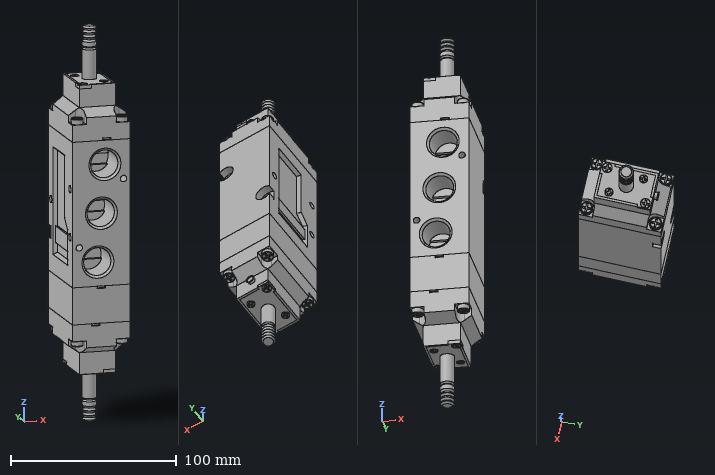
import cadquery as cq

total_length = 244.5
body_width = 36.5
body_depth = 51.0
half_length = total_length / 2

cap_base_z = 56.5
body_bottom_z = -33.5
body_mid_z = (cap_base_z + body_bottom_z) / 2

port_pitch = 30.0
port_shift = 2.2
port_radius = 8.5
port_mouth_radius = 10.0
port_depth = 19.5
port_slot_pitch = 29.0
port_slot_height = 6.8
port_slot_depth = 2.5

mount_x = 14.0
mount_z = 20.5
mount_radius = 2.0
mount_recess_radius = 5.6
mount_recess_depth = 5.1

pocket_back_y = 15.5
pocket_narrow_y = -8.5
pocket_wide_y = -15.2
pocket_top_z = 44.7
pocket_step_top_z = 6.4
pocket_step_bottom_z = 0.2
pocket_bottom_z = -21.8
pocket_depth = 2.5
pocket_draft = 34.0
bar_depth = 1.2
bar_top_z = -4.0
bar_bottom_z = -14.2
side_hole_y = 20.0
side_hole_spacing_z = 15.0
side_hole_radius = 2.2
side_hole_depth = 5.0

notch_width = 5.1
notch_height = 1.5
notch_depth = 2.0
cap_notch_x = 3.5

shoulder_z = 71.1
shoulder_top_z = 75.8
neck_width = 23.0
neck_depth = 34.7
neck_top_z = 89.5
corner_pocket_size = 8.8
corner_pocket_round = 4.5
corner_floor_z = 67.0
cap_screw_inset = 4.2
cap_screw_radius = 3.7
cap_screw_height = 3.5
cap_screw_chamfer = 0.5

button_z = 80.2
button_length = 2.5
button_stem_radius = 2.2
button_head_radius = 2.7
button_head_thickness = 0.5

plate_thickness = 2.2
rim_thickness = 1.5
rim_gap_x = 7.5
rim_gap_y = 8.0
corner_screw_x = 8.3
corner_screw_y = 13.7
corner_screw_radius = 3.0
inner_screw_x = 6.4
inner_screw_y = 9.3
inner_screw_radius = 2.5
plate_screw_sink = 0.7

cross_width = 1.0
cross_depth = 0.7
cross_span = 1.4

stem_radius = 4.5
stem_tip_chamfer = 1.2
groove_depth = 1.0
ring_groove_z = 108.8
ring_groove_width = 2.0
grip_first_z = 114.0
grip_pitch = 3.0
grip_groove_width = 2.7
grip_grooves = 3


def box_between(x_range, y_range, z_range):
    """Box spanning the given limits."""
    size = [high - low for low, high in (x_range, y_range, z_range)]
    corner = (x_range[0], y_range[0], z_range[0])
    return cq.Workplane(cq.Solid.makeBox(*size, cq.Vector(*corner)))


def cylinder(radius, length, base, direction):
    return cq.Workplane(cq.Solid.makeCylinder(radius, length, cq.Vector(*base), cq.Vector(*direction)))


def front_notch(x, bottom_z):
    """Shallow rectangular notch in the -Y face."""
    return box_between(
        (x - notch_width / 2, x + notch_width / 2),
        (-body_depth / 2, -body_depth / 2 + notch_depth),
        (bottom_z, bottom_z + notch_height),
    )


def port_cut(step):
    """Chamfered blind port with a slot across its floor; step is -1, 0 or 1."""
    x = step * port_shift
    z = body_mid_z + step * port_pitch
    face_y = -body_depth / 2
    mouth_chamfer = port_mouth_radius - port_radius
    bore = cylinder(port_radius, port_depth, (x, face_y, z), (0, 1, 0))
    mouth = cq.Workplane(cq.Solid.makeCone(
        port_mouth_radius, port_radius, mouth_chamfer, cq.Vector(x, face_y, z), cq.Vector(0, 1, 0)))
    slot_z = body_mid_z + step * port_slot_pitch
    slot = box_between(
        (x - port_radius, x + port_radius),
        (face_y, face_y + port_depth + port_slot_depth),
        (slot_z - port_slot_height / 2, slot_z + port_slot_height / 2),
    ).intersect(cylinder(port_radius, body_depth, (x, face_y, z), (0, 1, 0)))
    return bore.union(mouth).union(slot)


def mount_cut(side):
    """Through hole along Y with a counterbore in the +Y face; side is -1 or 1."""
    x = side * mount_x
    z = body_mid_z + side * mount_z
    hole = cylinder(mount_radius, body_depth, (x, -body_depth / 2, z), (0, 1, 0))
    recess = cylinder(mount_recess_radius, mount_recess_depth, (x, body_depth / 2, z), (0, -1, 0))
    return hole.union(recess)


def pocket_cut():
    """Drafted pocket in the -X face, crossed by a raised bar."""
    outline = [
        (pocket_back_y, pocket_top_z),
        (pocket_narrow_y, pocket_top_z),
        (pocket_narrow_y, pocket_step_top_z),
        (pocket_wide_y, pocket_step_bottom_z),
        (pocket_wide_y, pocket_bottom_z),
        (pocket_back_y, pocket_bottom_z),
    ]
    face = cq.Workplane("YZ", origin=(-body_width / 2, 0, 0))
    pocket = face.polyline(outline).close().extrude(pocket_depth, taper=pocket_draft)
    bar = box_between(
        (-body_width / 2 + bar_depth, 0),
        (pocket_wide_y, pocket_back_y),
        (bar_bottom_z, bar_top_z),
    )
    return pocket.cut(bar)


def make_valve_body():
    body = box_between(
        (-body_width / 2, body_width / 2),
        (-body_depth / 2, body_depth / 2),
        (body_bottom_z, cap_base_z),
    )
    for step in (-1, 0, 1):
        body = body.cut(port_cut(step))
    for side in (-1, 1):
        body = body.cut(mount_cut(side))
    body = body.cut(pocket_cut())
    side_holes = [
        (-side_hole_y, body_mid_z + side_hole_spacing_z),
        (side_hole_y, body_mid_z),
        (-side_hole_y, body_mid_z - side_hole_spacing_z),
    ]
    for y, z in side_holes:
        body = body.cut(cylinder(side_hole_radius, side_hole_depth, (-body_width / 2, y, z), (1, 0, 0)))
    return body


def make_spacer():
    spacer = box_between(
        (-body_width / 2, body_width / 2),
        (-body_depth / 2, body_depth / 2),
        (-cap_base_z, body_bottom_z),
    )
    return spacer.cut(front_notch(0, body_bottom_z - notch_height))


def cross_recess(x, y, top_z, radius):
    """Cross-shaped cut for the driver in a screw head."""
    face = cq.Workplane("XY", origin=(x, y, top_z))
    span = cross_span * radius
    arm = face.rect(span, cross_width).extrude(-cross_depth)
    return arm.union(face.rect(cross_width, span).extrude(-cross_depth))


def plate_space():
    """Space of the cover plate: a rectangle within the rim and two opposite corners."""
    half_x = neck_width / 2
    half_y = neck_depth / 2
    z_range = (neck_top_z - plate_thickness, neck_top_z)
    inner_x = half_x - rim_thickness
    inner_y = half_y - rim_thickness
    space = box_between((-inner_x, inner_x), (-inner_y, inner_y), z_range)
    right_corner = box_between((half_x - rim_gap_x, half_x), (half_y - rim_gap_y, half_y), z_range)
    left_corner = box_between((-half_x, rim_gap_x - half_x), (-half_y, rim_gap_y - half_y), z_range)
    return space.union(right_corner).union(left_corner)


def make_button():
    wall_y = neck_depth / 2
    head_y = wall_y + button_length - button_head_thickness
    stem = cylinder(button_stem_radius, button_length, (0, wall_y, button_z), (0, 1, 0))
    return stem.union(cylinder(button_head_radius, button_head_thickness, (0, head_y, button_z), (0, 1, 0)))


def cap_screw(x, y):
    """Chamfered screw head standing on the floor of a corner pocket."""
    head = cylinder(cap_screw_radius, cap_screw_height, (x, y, corner_floor_z), (0, 0, 1))
    head = head.faces(">Z").chamfer(cap_screw_chamfer)
    return head.cut(cross_recess(x, y, corner_floor_z + cap_screw_height, cap_screw_radius))


def make_end_cap():
    """Upper end cap with its four corner screws and the override button."""
    base = cq.Workplane("XY", origin=(0, 0, cap_base_z)).rect(body_width, body_depth)
    base = base.extrude(shoulder_z - cap_base_z)
    shoulder = (
        cq.Workplane("XY", origin=(0, 0, shoulder_z)).rect(body_width, body_depth)
        .workplane(offset=shoulder_top_z - shoulder_z).rect(neck_width, neck_depth)
        .loft(ruled=True)
    )
    corners = [(sx * body_width / 2, sy * body_depth / 2) for sx in (-1, 1) for sy in (-1, 1)]
    corner_pockets = (
        cq.Workplane("XY", origin=(0, 0, corner_floor_z)).pushPoints(corners)
        .rect(2 * corner_pocket_size, 2 * corner_pocket_size)
        .extrude(shoulder_top_z - corner_floor_z)
        .edges("|Z").fillet(corner_pocket_round)
    )
    neck = cq.Workplane("XY", origin=(0, 0, shoulder_top_z)).rect(neck_width, neck_depth)
    neck = neck.extrude(neck_top_z - shoulder_top_z)

    cap = base.union(shoulder).cut(corner_pockets).union(neck)
    cap = cap.cut(front_notch(cap_notch_x, cap_base_z)).cut(plate_space())
    screw_x = body_width / 2 - cap_screw_inset
    screw_y = body_depth / 2 - cap_screw_inset
    for sx in (-1, 1):
        for sy in (-1, 1):
            cap = cap.union(cap_screw(sx * screw_x, sy * screw_y))
    return cap.union(make_button())


def vee_groove(z, width):
    """Ring with a triangular section that cuts a V groove into the stem."""
    profile = [
        (stem_radius - groove_depth, z),
        (stem_radius, z - width / 2),
        (stem_radius, z + width / 2),
    ]
    return cq.Workplane("XZ").polyline(profile).close().revolve(360, (0, 0), (0, 1))


def make_stem():
    """Armature stem with one ring groove and a grooved grip at the tip."""
    base_z = neck_top_z - plate_thickness
    stem = cylinder(stem_radius, half_length - base_z, (0, 0, base_z), (0, 0, 1))
    stem = stem.faces(">Z").chamfer(stem_tip_chamfer)
    stem = stem.cut(vee_groove(ring_groove_z, ring_groove_width))
    for i in range(grip_grooves):
        stem = stem.cut(vee_groove(grip_first_z + i * grip_pitch, grip_groove_width))
    return stem


def sunk_screw_cut(x, y, radius):
    """Sunk round face of a plate screw with its cross recess."""
    sink = cylinder(radius, plate_screw_sink, (x, y, neck_top_z), (0, 0, -1))
    return sink.union(cross_recess(x, y, neck_top_z - plate_screw_sink, radius))


def make_operator():
    """Upper cover plate and armature stem."""
    operator = plate_space()
    for side in (-1, 1):
        corner_cut = sunk_screw_cut(side * corner_screw_x, side * corner_screw_y, corner_screw_radius)
        inner_cut = sunk_screw_cut(-side * inner_screw_x, side * inner_screw_y, inner_screw_radius)
        operator = operator.cut(corner_cut).cut(inner_cut)
    return operator.union(make_stem())


def at_other_end(upper):
    """Copy of an upper body turned half a turn about Y to the lower end."""
    return upper.rotate((0, 0, 0), (0, 1, 0), 180)


valve_body = make_valve_body()
spacer = make_spacer()
end_caps = [make_end_cap(), at_other_end(make_end_cap())]
operators = [make_operator(), at_other_end(make_operator())]

result = cq.Compound.makeCompound(
    [valve_body.val(), spacer.val()]
    + [cap.val() for cap in end_caps]
    + [operator.val() for operator in operators]
)